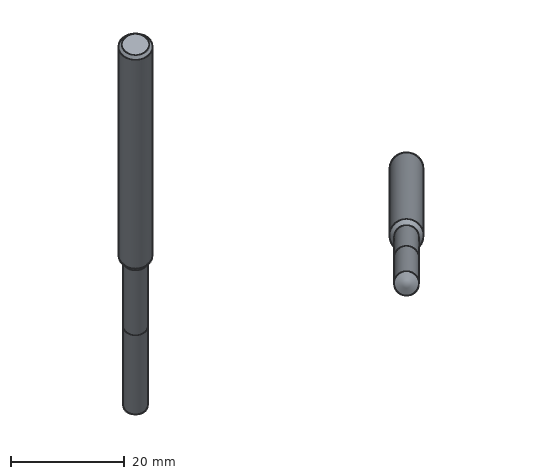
import cadquery as cq
import math

shank_radius = 3.0
shank_end_bevel = 0.6
shank_and_taper_length = 60.0
taper_length = 1.5

head_radius = 2.2
neck_length = 18.0
body_length = 100.0
point_angle = 140.0
point_height = head_radius / math.tan(math.radians(point_angle / 2))

head_bottom = point_height
shank_top = head_bottom + body_length
taper_bottom = shank_top - shank_and_taper_length
taper_top = taper_bottom + taper_length
head_top = taper_bottom - neck_length


def revolve_about_z(outline):
    """Solid of revolution from an (r, z) outline that starts and ends on the Z axis; its seam faces -Y."""
    points = [(-r, z) for r, z in outline]
    return cq.Workplane("YZ").polyline(points).close().revolve(360, (0, 0), (0, 1))


holder = revolve_about_z([
    (0, head_top),
    (head_radius, head_top),
    (head_radius, taper_bottom),
    (shank_radius, taper_top),
    (shank_radius, shank_top - shank_end_bevel),
    (shank_radius - shank_end_bevel, shank_top),
    (0, shank_top),
])

cutting_head = revolve_about_z([
    (0, 0),
    (head_radius, head_bottom),
    (head_radius, head_top),
    (0, head_top),
])

result = cq.Compound.makeCompound([holder.val(), cutting_head.val()])